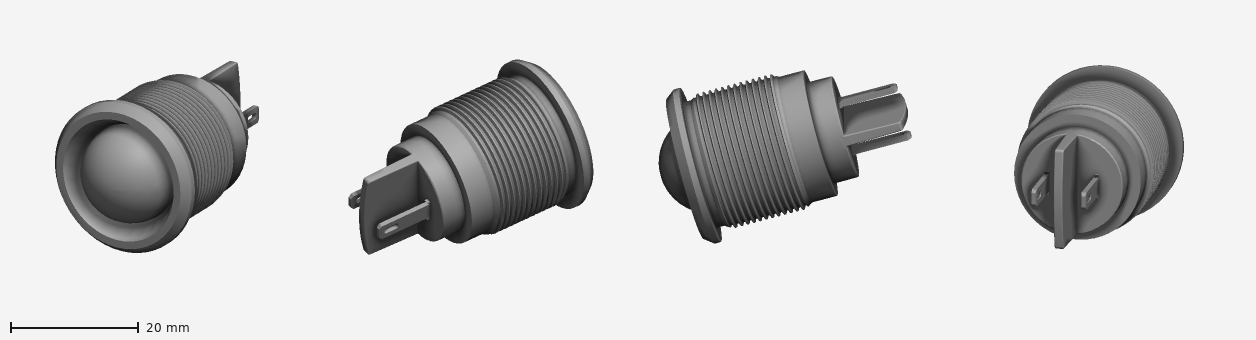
import cadquery as cq
import math


flange_radius = 12.5
flange_rim_width = 1.0
flange_thickness = 2.5
flange_front_radius = 11.35
barrel_radius = 10.17
barrel_end = 19.5
seat_fillet = 0.2

thread_crest_radius = 10.95
thread_root_radius = 10.4
thread_pitch = 1.0
thread_start = 1.2
thread_end = 15.45
thread_end_slope = 0.64
thread_inner_radius = 9.0
trim_radius = 12.0
blank_overrun = 2.2
blank_seam_angle = 77.0
ridge_start = 0.42
ridge_length = 15.5
ridge_foot_depth = 0.2
ridge_foot_radius = thread_root_radius - ridge_foot_depth
ridge_foot_width = 0.72
ridge_crest_width = 0.16

lens_radius = 8.0
lens_tip = -6.5
lens_center = lens_tip + lens_radius
cup_mouth_radius = 10.1

base_radius = 8.2
base_draft = math.tan(math.radians(0.5))
base_length = 4.05
base_shoulder = barrel_end + base_length
base_edge_fillet = 0.2
divider_end = 33.57
divider_root_width = 1.84
divider_draft = math.tan(math.radians(1.2))
divider_end_arc_radius = 36.0
divider_corner_fillet = 0.5
edge_margin = 0.1
corner_zone_size = 2.0

terminal_spacing = 8.0
terminal_width = 2.8
terminal_thickness = 0.8
terminal_end = 33.05
terminal_tip_length = 0.5
terminal_tip_width = 1.8
terminal_tip_thickness = 0.6
barb_reach = 0.5
barb_inner_height = 0.22
barb_outer_height = 0.5
eye_length = 2.6
eye_width = 1.1
eye_corner_radius = 0.4
eye_end_distance = 0.97
eye_center = terminal_end - eye_end_distance - eye_length / 2


def revolve_about_y(outline):
    """Turn a closed outline, drawn as radius along X and position along Y, about the Y axis."""
    return outline.close().revolve(360, (0, 0, 0), (0, 1, 0))


def make_thread_blank():
    """Cylinder at the thread root that overruns both thread ends, its seam away from the ridge start."""
    blank = revolve_about_y(
        cq.Workplane("XY")
        .moveTo(0, thread_start - blank_overrun)
        .lineTo(thread_root_radius, thread_start - blank_overrun)
        .lineTo(thread_root_radius, thread_end + blank_overrun)
        .lineTo(0, thread_end + blank_overrun)
    )
    return blank.rotate((0, 0, 0), (0, 1, 0), blank_seam_angle)


def make_thread_ridge():
    """Right-hand helical ridge with its foot sunk into the thread blank."""
    helix = cq.Wire.makeHelix(thread_pitch, ridge_length, thread_root_radius)
    ridge = (
        cq.Workplane("XZ")
        .moveTo(ridge_foot_radius, -ridge_foot_width / 2)
        .lineTo(thread_crest_radius, -ridge_crest_width / 2)
        .lineTo(thread_crest_radius, ridge_crest_width / 2)
        .lineTo(ridge_foot_radius, ridge_foot_width / 2)
        .close()
        .sweep(cq.Workplane(obj=helix), isFrenet=True)
    )
    return ridge.rotate((0, 0, 0), (1, 0, 0), -90).translate((0, ridge_start, 0))


def make_thread():
    """Threaded ring around the barrel, trimmed by a cone at each end."""
    cone_length = (trim_radius - barrel_radius) / thread_end_slope
    trim = revolve_about_y(
        cq.Workplane("XY")
        .moveTo(thread_inner_radius, thread_start)
        .lineTo(barrel_radius, thread_start)
        .lineTo(trim_radius, thread_start + cone_length)
        .lineTo(trim_radius, thread_end - cone_length)
        .lineTo(barrel_radius, thread_end)
        .lineTo(thread_inner_radius, thread_end)
    ).rotate((0, 0, 0), (0, 1, 0), blank_seam_angle)
    return make_thread_blank().union(make_thread_ridge()).intersect(trim)


def make_housing():
    """Flanged, threaded barrel with a conical cup in its front face."""
    fillet_mid = seat_fillet * (1 - math.sqrt(0.5))
    body = revolve_about_y(
        cq.Workplane("XY")
        .moveTo(0, lens_center)
        .lineTo(lens_radius, lens_center)
        .lineTo(cup_mouth_radius, -flange_thickness)
        .lineTo(flange_front_radius, -flange_thickness)
        .lineTo(flange_radius, -flange_rim_width)
        .lineTo(flange_radius, 0)
        .lineTo(barrel_radius + seat_fillet, 0)
        .threePointArc((barrel_radius + fillet_mid, fillet_mid), (barrel_radius, seat_fillet))
        .lineTo(barrel_radius, barrel_end)
        .lineTo(0, barrel_end)
    )
    return body.union(make_thread())


def make_lens():
    """Half-ball lens, flat against the floor of the cup."""
    return revolve_about_y(
        cq.Workplane("XY")
        .moveTo(0, lens_center)
        .lineTo(lens_radius, lens_center)
        .radiusArc((0, lens_tip), lens_radius)
    )


def make_drafted_cylinder(end):
    """Base cylinder from the barrel to the given end, narrowing by the base draft."""
    return revolve_about_y(
        cq.Workplane("XY")
        .moveTo(0, barrel_end)
        .lineTo(base_radius, barrel_end)
        .lineTo(base_radius - (end - barrel_end) * base_draft, end)
        .lineTo(0, end)
    )


def make_divider():
    """Tapered wall between the terminals, flush with the base cylinder, with a bowed end."""
    length = divider_end - base_shoulder
    root_half = divider_root_width / 2
    tip_half = root_half - length * divider_draft
    wall = (
        cq.Workplane("XY")
        .moveTo(-root_half, barrel_end)
        .lineTo(root_half, barrel_end)
        .lineTo(root_half, base_shoulder)
        .lineTo(tip_half, divider_end)
        .lineTo(-tip_half, divider_end)
        .lineTo(-root_half, base_shoulder)
        .close()
        .extrude(base_radius, both=True)
    )
    bow = (
        cq.Workplane("YZ")
        .center(divider_end - divider_end_arc_radius, 0)
        .circle(divider_end_arc_radius)
        .extrude(root_half, both=True)
    )
    divider = wall.intersect(bow).intersect(make_drafted_cylinder(divider_end))
    corner_zone = cq.selectors.BoxSelector(
        (-root_half, divider_end - corner_zone_size, base_radius - corner_zone_size),
        (root_half, divider_end, base_radius),
    )
    for _ in range(2):
        divider = divider.edges(corner_zone).fillet(divider_corner_fillet).rotate((0, 0, 0), (0, 1, 0), 180)
    return divider


def make_terminal(x):
    """Solder tab with a tapered tip, an eye and a barb on each edge where it leaves the base."""
    blade_end = terminal_end - terminal_tip_length
    blade = (
        cq.Workplane("XZ", origin=(x, base_shoulder, 0))
        .rect(terminal_thickness, terminal_width)
        .extrude(base_shoulder - blade_end)
    )
    tip = (
        cq.Workplane("XZ", origin=(x, blade_end, 0))
        .rect(terminal_thickness, terminal_width)
        .workplane(offset=-terminal_tip_length)
        .rect(terminal_tip_thickness, terminal_tip_width)
        .loft()
    )
    eye = (
        cq.Workplane("XY", origin=(x, eye_center, 0))
        .box(terminal_thickness, eye_length, eye_width)
        .edges("|X")
        .fillet(eye_corner_radius)
    )
    barb = (
        cq.Workplane("YZ", origin=(x, base_shoulder, 0))
        .moveTo(0, 0)
        .lineTo(0, terminal_width / 2 + barb_reach)
        .lineTo(barb_outer_height, terminal_width / 2 + barb_reach)
        .lineTo(barb_inner_height, terminal_width / 2)
        .lineTo(barb_inner_height, 0)
        .close()
        .extrude(terminal_thickness / 2, both=True)
    )
    return blade.union(tip).union(barb).union(barb.mirror("XY")).cut(eye)


def edges_beside_divider(side):
    """Selector for the edges behind the shoulder that lie to one side of the divider's middle."""
    return cq.selectors.BoxSelector(
        (side * divider_root_width / 4, base_shoulder - edge_margin, -base_radius),
        (side * base_radius, divider_end, base_radius),
    )


def make_base():
    """Rear base with rounded edges, the divider wall and a terminal on each side of it."""
    base = make_drafted_cylinder(base_shoulder).union(make_divider())
    rear_edges = edges_beside_divider(1) + edges_beside_divider(-1)
    base = base.edges(rear_edges).edges("not |Z").fillet(base_edge_fillet)
    for side in (-1, 1):
        base = base.union(make_terminal(side * terminal_spacing / 2))
    return base


housing = make_housing()
lens = make_lens()
base = make_base()

result = cq.Compound.makeCompound([housing.val(), lens.val(), base.val()])